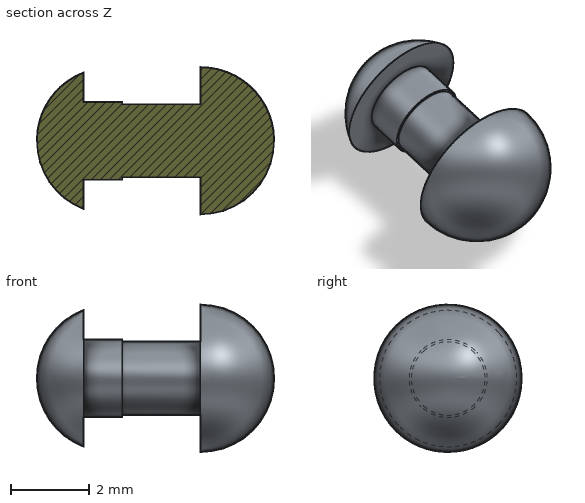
import cadquery as cq
import math

overall_length = 6.09
large_head_radius = 1.895
small_head_height = 1.2
small_head_rim_radius = 1.755
collar_radius = 1.0
collar_length = 1.0
shaft_radius = 0.945

collar_start = small_head_height
shaft_start = collar_start + collar_length
large_head_start = overall_length - large_head_radius

small_sphere_radius = (small_head_rim_radius**2 + small_head_height**2) / (2 * small_head_height)
small_arc_half_angle = math.asin(small_head_rim_radius / small_sphere_radius) / 2
small_arc_middle = (
    small_sphere_radius * (1 - math.cos(small_arc_half_angle)),
    small_sphere_radius * math.sin(small_arc_half_angle),
)

diagonal_offset = large_head_radius * math.sqrt(0.5)
large_arc_middle = (large_head_start + diagonal_offset, diagonal_offset)

half_profile = (
    cq.Workplane("XY")
    .moveTo(0, 0)
    .threePointArc(small_arc_middle, (collar_start, small_head_rim_radius))
    .lineTo(collar_start, collar_radius)
    .lineTo(shaft_start, collar_radius)
    .lineTo(shaft_start, shaft_radius)
    .lineTo(large_head_start, shaft_radius)
    .lineTo(large_head_start, large_head_radius)
    .threePointArc(large_arc_middle, (overall_length, 0))
    .close()
)

result = half_profile.revolve(360, (0, 0, 0), (1, 0, 0))